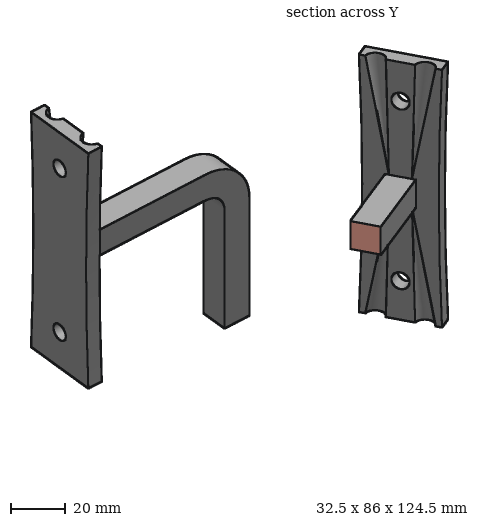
import cadquery as cq
import math

plate_height = 109.0
plate_thickness = 6.5
end_width = 32.5
waist_width = 30.0

hole_diameter = 7.0
hole_spacing = 76.0

groove_end_radius = 4.0
groove_end_x = 9.7
groove_end_y = 7.0
groove_tip_x = 4.5
groove_overrun = 1.05

bar_size = 12.0
bend_inner_radius = 9.0
bend_outer_radius = bend_inner_radius + bar_size
overall_depth = 86.0
overall_height = 124.5

plate_end_z = plate_height / 2
hole_z = hole_spacing / 2
bar_top_z = bar_size / 2
leg_bottom_z = plate_end_z - overall_height
leg_inner_y = overall_depth - bar_size


def make_plate():
    """Plate whose long sides curve gently inward to a narrower waist."""
    half_end = end_width / 2
    half_waist = waist_width / 2
    outline = (
        cq.Workplane("XZ")
        .moveTo(-half_end, -plate_end_z)
        .lineTo(half_end, -plate_end_z)
        .threePointArc((half_waist, 0), (half_end, plate_end_z))
        .lineTo(-half_end, plate_end_z)
        .threePointArc((-half_waist, 0), (-half_end, -plate_end_z))
        .close()
    )
    return outline.extrude(-plate_thickness)


def make_bar():
    """Square bar bent through a right angle, in profile on the YZ plane."""
    bend_center_y = overall_depth - bend_outer_radius
    bend_center_z = bar_top_z - bend_outer_radius
    diagonal = math.sqrt(0.5)
    outer_mid = (bend_center_y + bend_outer_radius * diagonal, bend_center_z + bend_outer_radius * diagonal)
    inner_mid = (bend_center_y + bend_inner_radius * diagonal, bend_center_z + bend_inner_radius * diagonal)
    profile = (
        cq.Workplane("YZ")
        .moveTo(plate_thickness, bar_top_z)
        .lineTo(bend_center_y, bar_top_z)
        .threePointArc(outer_mid, (overall_depth, bend_center_z))
        .lineTo(overall_depth, leg_bottom_z)
        .lineTo(leg_inner_y, leg_bottom_z)
        .lineTo(leg_inner_y, bend_center_z)
        .threePointArc(inner_mid, (bend_center_y, bar_top_z - bar_size))
        .lineTo(plate_thickness, bar_top_z - bar_size)
        .close()
    )
    return profile.extrude(bar_size / 2, both=True)


def make_screw_holes():
    return (
        cq.Workplane("XZ")
        .pushPoints([(0, hole_z), (0, -hole_z)])
        .circle(hole_diameter / 2)
        .extrude(-plate_thickness)
    )


def make_groove(side, end):
    """Cone running past a plate end, with its tip in the rear face at the edge of the arm."""
    tip = cq.Vector(side * groove_tip_x, plate_thickness, end * bar_top_z)
    end_center = cq.Vector(side * groove_end_x, groove_end_y, end * plate_end_z)
    axis = (end_center - tip) * groove_overrun
    base_radius = groove_end_radius * groove_overrun
    cone = cq.Solid.makeCone(0, base_radius, axis.Length, tip, axis)
    return cq.Workplane(cone)


plate = make_plate().cut(make_screw_holes())
for side in (-1, 1):
    for end in (-1, 1):
        plate = plate.cut(make_groove(side, end))

result = plate.union(make_bar())